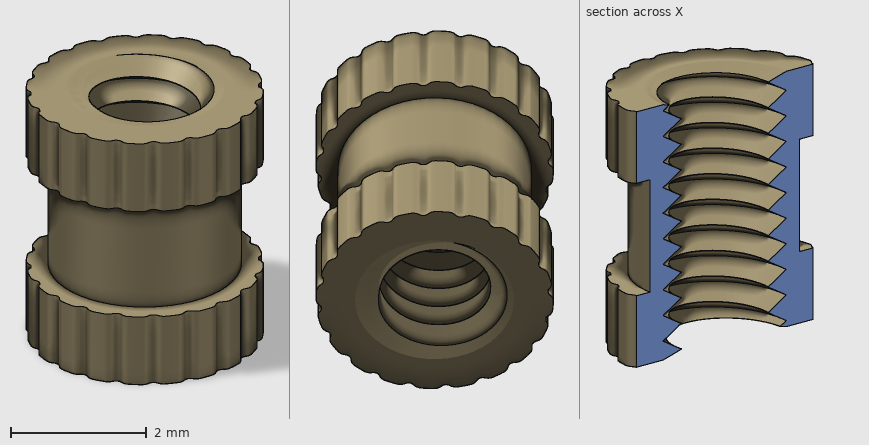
import cadquery as cq
import math

insert_height = 4.0
collar_height = 1.125
collar_radius = 1.75
waist_radius = 2.86 / 2

flute_count = 20
flute_radius = 0.1
flute_floor_radius = 1.68
flute_edge_rounding = 0.15

thread_pitch = 0.4
bore_radius = 0.826
thread_half_angle = math.radians(30)
crest_gap = 0.002
cutter_overlap = 0.005
turns_beyond_end = 1.5

lead_in_radius = 1.172
lead_in_slope = math.radians(15)
lead_in_depth = (lead_in_radius - bore_radius) * math.tan(lead_in_slope)


def make_collar(base_z):
    """Disc with evenly spaced rounded flutes cut along its rim."""
    collar = cq.Workplane("XY").circle(collar_radius).extrude(collar_height)
    flutes = (
        cq.Workplane("XY")
        .polarArray(flute_floor_radius + flute_radius, 0, 360, flute_count)
        .circle(flute_radius)
        .extrude(collar_height)
    )
    collar = collar.cut(flutes).edges("|Z").fillet(flute_edge_rounding)
    return collar.translate((0, 0, base_z))


def make_bore():
    """Plain bore with a widening cone at each end."""
    profile = [
        (0, 0),
        (lead_in_radius, 0),
        (bore_radius, lead_in_depth),
        (bore_radius, insert_height - lead_in_depth),
        (lead_in_radius, insert_height),
        (0, insert_height),
    ]
    return cq.Workplane("XZ").polyline(profile).close().revolve(360, (0, 0, 0), (0, 1, 0))


def make_thread_groove():
    """V-shaped helical cutter running past both ends of the bore."""
    run_out = turns_beyond_end * thread_pitch
    base_radius = bore_radius - cutter_overlap
    half_width = (thread_pitch - crest_gap) / 2
    root_radius = base_radius + half_width / math.tan(thread_half_angle)
    helix = cq.Wire.makeHelix(thread_pitch, insert_height + 2 * run_out, base_radius)
    groove = (
        cq.Workplane("XZ")
        .moveTo(base_radius, -half_width)
        .lineTo(root_radius, 0)
        .lineTo(base_radius, half_width)
        .close()
        .sweep(cq.Workplane(helix), isFrenet=True)
    )
    return groove.translate((0, 0, -run_out))


waist = cq.Workplane("XY").circle(waist_radius).extrude(insert_height)
body = waist.union(make_collar(0)).union(make_collar(insert_height - collar_height))
result = body.cut(make_bore()).cut(make_thread_groove())